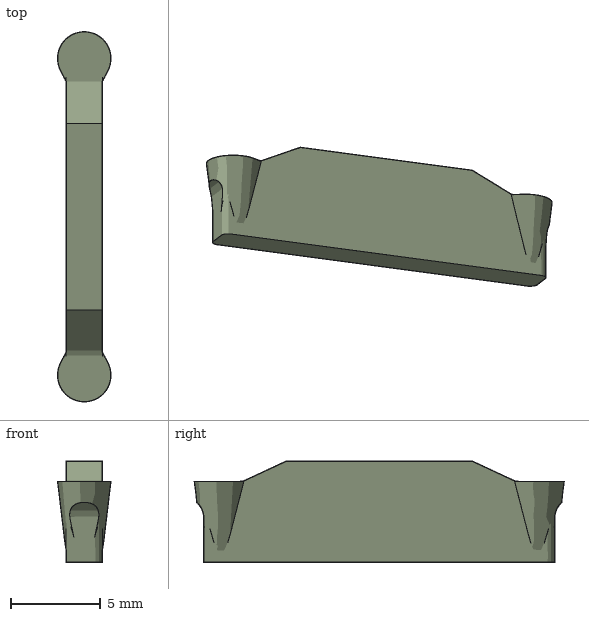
import cadquery as cq
import math

overall_length = 20.75
overall_height = 5.68

blade_width = 2.04
blade_length = 19.68
blade_corner_radius = 0.44
crest_length = 10.44
crest_slope_angle = 25.0
slope_blend_radius = 0.75

tip_height = 4.55
tip_radius = 1.5
relief_angle = 6.8
neck_angle = 27.5
end_relief_radius = 1.2
end_relief_drop = 2.07

selection_margin = 0.1

blade_end = blade_length / 2
crest_end = crest_length / 2
tip_centre = overall_length / 2 - tip_radius
slope_foot = crest_end + (overall_height - tip_height) / math.tan(math.radians(crest_slope_angle))
tip_floor_radius = tip_radius - tip_height * math.tan(math.radians(relief_angle))


def make_blade():
    """Flat blade with rounded upright corners and a raised crest between the tips."""
    blade = (
        cq.Workplane("XY")
        .box(blade_width, blade_length, overall_height, centered=(True, True, False))
        .edges("|Z")
        .fillet(blade_corner_radius)
    )
    side_outline = (
        cq.Workplane("YZ")
        .moveTo(-blade_end, 0)
        .lineTo(blade_end, 0)
        .lineTo(blade_end, tip_height)
        .lineTo(slope_foot, tip_height)
        .lineTo(crest_end, overall_height)
        .lineTo(-crest_end, overall_height)
        .lineTo(-slope_foot, tip_height)
        .lineTo(-blade_end, tip_height)
        .close()
        .extrude(blade_width / 2, both=True)
    )
    slope_feet = cq.selectors.BoxSelector(
        (-blade_width, -slope_foot - selection_margin, tip_height - selection_margin),
        (blade_width, slope_foot + selection_margin, tip_height + selection_margin),
    )
    return blade.intersect(side_outline.edges(slope_feet).fillet(slope_blend_radius))


def tip_outline(plane, radius):
    """Teardrop: a circle whose two side tangents meet at a point toward the blade middle."""
    angle = math.radians(neck_angle)
    tangent_x = radius * math.cos(angle)
    tangent_y = tip_centre - radius * math.sin(angle)
    apex_y = tip_centre - radius / math.sin(angle)
    return (
        plane.moveTo(0, apex_y)
        .lineTo(tangent_x, tangent_y)
        .threePointArc((0, tip_centre + radius), (-tangent_x, tangent_y))
        .close()
    )


def make_end_relief():
    """Space in front of the blade end, closed above by a concave quarter round."""
    round_start = tip_height - end_relief_drop
    round_end_y = blade_end + end_relief_radius
    diagonal = end_relief_radius * math.sqrt(0.5)
    return (
        cq.Workplane("YZ")
        .moveTo(blade_end, 0)
        .lineTo(blade_end, round_start)
        .threePointArc(
            (round_end_y - diagonal, round_start + diagonal),
            (round_end_y, round_start + end_relief_radius),
        )
        .lineTo(round_end_y, 0)
        .close()
        .extrude(tip_radius, both=True)
    )


def make_tip():
    """Tip at the +Y end: tapers downward all round and is cut back to the blade end below."""
    floor = tip_outline(cq.Workplane("XY"), tip_floor_radius)
    top = tip_outline(floor.workplane(offset=tip_height), tip_radius)
    return top.loft(ruled=True).cut(make_end_relief())


tip = make_tip()
result = make_blade().union(tip).union(tip.mirror("XZ"))